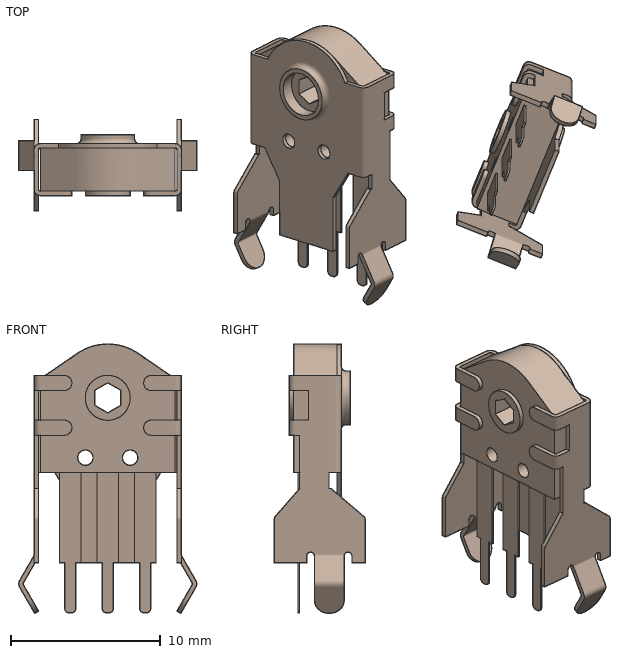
import cadquery as cq
import math


housing_half_width = 4.5
housing_depth = 2.88
housing_bottom = -5.0
dome_radius = 3.6
roof_angle = math.radians(34.5)
boss_diameter = 3.0
hex_across_corners = 2.0
peg_hole_diameter = 1.0
peg_hole_x = 1.5
peg_hole_z = -4.0

sheet = 0.3
wall_outer = 4.9
wall_inner = wall_outer - sheet
bend_radius = wall_outer - housing_half_width
wrap_top = 1.5

finger_width = 1.0
finger_radius = finger_width / 2
finger_tip_x = 2.4
finger_round_x = finger_tip_x + finger_radius
upper_finger_z = wrap_top - finger_radius
lower_finger_z = -2.0
window_front = -1.89

collar_outer_diameter = 3.6
collar_bore_diameter = 2.98
collar_height = 0.6
flare_radius = 0.3

tab_top_half_width = 3.52
tab_half_width = 2.27
tab_taper_bottom = -7.08

neck_back = -0.52
neck_front = -2.48
wing_top = -6.05
wing_back_start = -0.4
wing_shoulder = -8.0
wing_bottom = -11.0
wing_back = 1.9
wing_front = -4.19
wing_corner_radius = 0.3

overall_width = 11.88
clip_width = 2.0
clip_center_y = -0.5
clip_angle = math.radians(30)
clip_bend_radius = 0.45
clip_bend_z = -10.5
clip_bottom = -14.38
notch_width = 0.5
notch_top = -10.3

terminal_pitch = 2.5
terminal_back = neck_front
terminal_thickness = 0.13
terminal_width = 1.45
terminal_shoulder = wing_bottom
pin_width = 0.75
pin_corner_radius = 0.3
pin_bottom = -14.35


def block(x0, x1, y0, y1, z0, z1):
    """Box between two corner points."""
    return cq.Workplane("XY").box(x1 - x0, y1 - y0, z1 - z0, centered=False).translate((x0, y0, z0))


def plane_facing_front(y):
    """Workplane at the given y; local axes are X and Z, and it extrudes toward -Y."""
    return cq.Workplane("XZ", origin=(0, y, 0))


def both_sides(right_half):
    """The right-hand feature together with its mirror image."""
    return right_half.union(right_half.mirror("YZ"))


def peg_holes(body):
    """Drill the two round holes below the hub."""
    drill = (
        plane_facing_front(housing_depth)
        .pushPoints([(-peg_hole_x, peg_hole_z), (peg_hole_x, peg_hole_z)])
        .circle(peg_hole_diameter / 2)
        .extrude(3 * housing_depth)
    )
    return body.cut(drill)


def make_housing():
    tangent_x = dome_radius * math.sin(roof_angle)
    tangent_z = dome_radius * math.cos(roof_angle)
    eave_z = tangent_z - (housing_half_width - tangent_x) * math.tan(roof_angle)
    body = (
        plane_facing_front(0)
        .moveTo(-housing_half_width, housing_bottom)
        .lineTo(housing_half_width, housing_bottom)
        .lineTo(housing_half_width, eave_z)
        .lineTo(tangent_x, tangent_z)
        .threePointArc((0, dome_radius), (-tangent_x, tangent_z))
        .lineTo(-housing_half_width, eave_z)
        .close()
        .extrude(housing_depth)
    )
    boss_depth = housing_depth + sheet
    boss = plane_facing_front(0).circle(boss_diameter / 2).extrude(boss_depth)
    hex_bore = (
        plane_facing_front(0)
        .polygon(6, hex_across_corners)
        .extrude(boss_depth)
        .rotate((0, 0, 0), (0, 1, 0), 90)
    )
    return peg_holes(body.union(boss).cut(hex_bore))


def make_wrap():
    """Bent sheet around the back, the sides and, as four fingers, the front."""
    front_inside = -housing_depth
    front_outside = front_inside - sheet
    outer = (
        block(-wall_outer, wall_outer, front_outside, sheet, housing_bottom, wrap_top)
        .edges("|Z")
        .fillet(bend_radius)
    )
    inner = (
        block(-wall_inner, wall_inner, front_inside, 0, housing_bottom, wrap_top)
        .edges("|Z")
        .fillet(bend_radius - sheet)
    )
    wrap = outer.cut(inner)

    lower_finger_bottom = lower_finger_z - finger_radius
    window_bottom = lower_finger_z + finger_radius
    window_top = upper_finger_z - finger_radius
    below_fingers = block(
        -wall_outer, wall_outer, front_outside, neck_front, housing_bottom, lower_finger_bottom
    )
    windows = block(-wall_outer, wall_outer, front_outside, window_front, window_bottom, window_top)
    between_tips = block(
        -finger_round_x, finger_round_x, front_outside, front_inside, housing_bottom, wrap_top
    )
    finger_ends = (
        plane_facing_front(front_inside)
        .pushPoints([(x, z) for x in (-finger_round_x, finger_round_x)
                     for z in (upper_finger_z, lower_finger_z)])
        .circle(finger_radius)
        .extrude(sheet)
    )
    return wrap.cut(below_fingers).cut(windows).cut(between_tips).union(finger_ends)


def make_back_plate_extras():
    """Dome and hanging tab, both in the plane of the back plate."""
    dome = plane_facing_front(sheet).circle(dome_radius).extrude(sheet)
    tab = (
        plane_facing_front(sheet)
        .polyline([
            (-tab_top_half_width, housing_bottom),
            (-tab_half_width, tab_taper_bottom),
            (-tab_half_width, wing_bottom),
            (tab_half_width, wing_bottom),
            (tab_half_width, tab_taper_bottom),
            (tab_top_half_width, housing_bottom),
        ])
        .close()
        .extrude(sheet)
    )
    return dome, tab


def make_collar():
    """Drawn collar with a flared root, revolved about the hub axis."""
    bore = collar_bore_diameter / 2
    rim = collar_outer_diameter / 2
    root_y = sheet
    return (
        cq.Workplane("XY")
        .moveTo(bore, root_y)
        .lineTo(rim + flare_radius, root_y)
        .radiusArc((rim, root_y + flare_radius), flare_radius)
        .lineTo(rim, root_y + collar_height)
        .lineTo(bore, root_y + collar_height)
        .close()
        .revolve(360, (0, 0, 0), (0, 1, 0))
    )


def make_wing():
    """Right-hand neck and wing, with the space for the clip and its relief notches removed."""
    wing = (
        cq.Workplane("YZ", origin=(wall_inner, 0, 0))
        .polyline([
            (neck_back, housing_bottom),
            (neck_back, wing_top),
            (wing_back_start, wing_top),
            (wing_back, wing_shoulder),
            (wing_back, wing_bottom),
            (wing_front, wing_bottom),
            (wing_front, wing_shoulder),
            (neck_front, wing_top),
            (neck_front, housing_bottom),
        ])
        .close()
        .extrude(sheet)
    )
    for y in (wing_back, wing_front):
        wing = wing.edges(cq.selectors.NearestToPointSelector((wall_outer - sheet / 2, y, wing_shoulder)))
        wing = wing.fillet(wing_corner_radius)

    notch_radius = notch_width / 2
    notch_center_z = notch_top - notch_radius
    notch_offset = (clip_width + notch_width) / 2
    for y in (clip_center_y - notch_offset, clip_center_y + notch_offset):
        round_end = (
            cq.Workplane("YZ", origin=(wall_inner, y, notch_center_z)).circle(notch_radius).extrude(sheet)
        )
        slot = block(
            wall_inner, wall_outer, y - notch_radius, y + notch_radius, wing_bottom, notch_center_z
        )
        wing = wing.cut(round_end).cut(slot)
    clip_half = clip_width / 2
    clip_space = block(
        wall_inner, wall_outer, clip_center_y - clip_half, clip_center_y + clip_half, wing_bottom, notch_top
    )
    return wing.cut(clip_space)


def make_clip():
    """Right-hand snap clip: a strip bent outward, kinked back inward, with a round end."""
    sin_a = math.sin(clip_angle)
    cos_a = math.cos(clip_angle)
    inner_bend_radius = clip_bend_radius - sheet
    clip_half = clip_width / 2

    kink_x = overall_width / 2 + clip_bend_radius * (1 / cos_a - 1)
    kink_z = clip_bend_z - (kink_x - wall_outer) / math.tan(clip_angle)
    lower_leg = (kink_z - clip_bottom) / cos_a
    tip_x = kink_x - lower_leg * sin_a
    inner_bend_z = clip_bend_z - sheet * math.tan(clip_angle / 2)
    inner_kink_x = kink_x - sheet / cos_a

    strip = (
        plane_facing_front(clip_center_y + clip_half)
        .polyline([
            (wall_outer, notch_top),
            (wall_outer, clip_bend_z),
            (kink_x, kink_z),
            (tip_x, clip_bottom),
            (tip_x - sheet * cos_a, clip_bottom + sheet * sin_a),
            (inner_kink_x, kink_z),
            (wall_inner, inner_bend_z),
            (wall_inner, notch_top),
        ])
        .close()
        .extrude(clip_width)
    )
    bends = [
        (wall_outer, clip_bend_z, inner_bend_radius),
        (wall_inner, inner_bend_z, clip_bend_radius),
        (kink_x, kink_z, clip_bend_radius),
        (inner_kink_x, kink_z, inner_bend_radius),
    ]
    for x, z, radius in bends:
        corner = cq.selectors.NearestToPointSelector((x, clip_center_y, z))
        strip = strip.edges("|Y").edges(corner).fillet(radius)

    tip_plane = cq.Plane(
        origin=(tip_x, clip_center_y, clip_bottom), xDir=(0, 1, 0), normal=(cos_a, 0, -sin_a)
    )
    reach = overall_width
    rounded_outline = (
        cq.Workplane(tip_plane)
        .moveTo(-clip_half, clip_half)
        .threePointArc((0, 0), (clip_half, clip_half))
        .lineTo(clip_half, reach)
        .lineTo(-clip_half, reach)
        .close()
        .extrude(reach, both=True)
    )
    return strip.intersect(rounded_outline)


def make_bracket():
    dome, tab = make_back_plate_extras()
    bracket = make_wrap().union(dome).union(tab).union(make_collar())
    hub_opening = plane_facing_front(sheet).circle(collar_bore_diameter / 2).extrude(sheet)
    bracket = peg_holes(bracket.cut(hub_opening))
    return bracket.union(both_sides(make_wing().union(make_clip())))


def make_terminal(x):
    """Flat terminal: wide blade under the housing, narrow pin with rounded corners below it."""
    pin_half = pin_width / 2
    blade_half = terminal_width / 2
    return (
        cq.Workplane("XZ", origin=(x, terminal_back, 0))
        .polyline([
            (-blade_half, housing_bottom),
            (-blade_half, terminal_shoulder),
            (-pin_half, terminal_shoulder),
            (-pin_half, pin_bottom),
            (pin_half, pin_bottom),
            (pin_half, terminal_shoulder),
            (blade_half, terminal_shoulder),
            (blade_half, housing_bottom),
        ])
        .close()
        .extrude(terminal_thickness)
        .faces("<Z")
        .edges("|Y")
        .fillet(pin_corner_radius)
    )


housing = make_housing()
bracket = make_bracket()
terminals = [make_terminal(x) for x in (-terminal_pitch, 0, terminal_pitch)]

result = cq.Compound.makeCompound(
    [body.solids().val() for body in (housing, bracket, *terminals)]
)